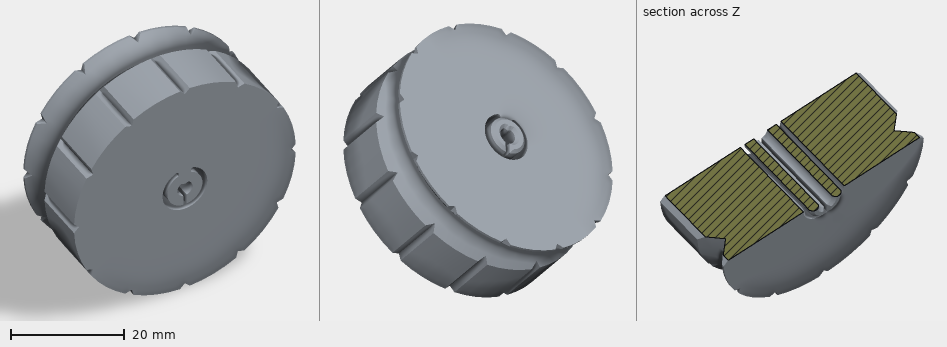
import cadquery as cq
import math


notch_count = 12
notch_depth = 1.0

wheel_height = 44.95
wheel_radius = math.hypot(wheel_height / 2, notch_depth)
wheel_width = 18.0
flange_width = 0.5
groove_depth = 3.5

hub_radius = 3.55
hub_overhang = 1.05
hub_chamfer = 0.6
hub_chamfer_angle = 45
hub_slit_width = 0.67
clearance_radius = 4.55
bridge_width = 2.47
clearance_end_fillet = 0.4

bore_radius = 1.55
bore_flat_height = 1.3
key_radius = 0.8
key_tip_height = 1.12

hub_length = wheel_width + hub_overhang


def make_rim():
    """Disc with a V-groove behind the thin front flange."""
    groove_bottom_x = flange_width + groove_depth
    groove_end_x = groove_bottom_x + groove_depth
    half_section = (
        cq.Workplane("XY")
        .moveTo(0, 0)
        .lineTo(0, wheel_radius)
        .lineTo(flange_width, wheel_radius)
        .lineTo(groove_bottom_x, wheel_radius - groove_depth)
        .lineTo(groove_end_x, wheel_radius)
        .lineTo(wheel_width, wheel_radius)
        .lineTo(wheel_width, 0)
        .close()
    )
    return half_section.revolve(360, (0, 0, 0), (1, 0, 0))


def make_notches():
    """Ring of V-shaped cutters, one of them at the top of the wheel."""
    tip_radius = wheel_height / 2 - notch_depth
    cutter_height = 2 * notch_depth
    cutter = (
        cq.Workplane("YZ")
        .moveTo(0, tip_radius)
        .lineTo(cutter_height, tip_radius + cutter_height)
        .lineTo(-cutter_height, tip_radius + cutter_height)
        .close()
        .extrude(wheel_width)
    )
    notches = cq.Workplane("YZ")
    for index in range(notch_count):
        angle = 360 / notch_count * index
        notches = notches.add(cutter.rotate((0, 0, 0), (1, 0, 0), angle))
    return notches.combine()


def make_clearance():
    """Opening around the hub, interrupted at the top by the bridge."""
    half_bridge = bridge_width / 2
    bridge_gap = (
        cq.Workplane("YZ")
        .center(0, clearance_radius)
        .rect(bridge_width, 2 * clearance_radius)
        .extrude(wheel_width)
    )
    opening = cq.Workplane("YZ").circle(clearance_radius).extrude(wheel_width).cut(bridge_gap)
    corner_height = math.sqrt(clearance_radius**2 - half_bridge**2)
    for side in (-1, 1):
        corner = cq.selectors.NearestToPointSelector((wheel_width / 2, side * half_bridge, corner_height))
        opening = opening.edges("|X").edges(corner).fillet(clearance_end_fillet)
    return opening


def make_hub_opening(length, margin=0, taper=0):
    """Keyed bore with the slit below it, widened by margin at its front and narrowing by the taper angle."""
    bore = cq.Workplane("YZ").circle(bore_radius + margin).extrude(length, taper=taper)
    block_size = 4 * bore_radius
    above_flat = (
        cq.Workplane("YZ")
        .center(0, bore_flat_height + margin + block_size / 2)
        .rect(block_size, block_size)
        .extrude(length, taper=-taper)
    )
    key = (
        cq.Workplane("YZ")
        .center(0, key_tip_height + key_radius)
        .circle(key_radius - margin)
        .extrude(length, taper=-taper)
    )
    slit = (
        cq.Workplane("YZ")
        .center(0, -hub_radius)
        .rect(hub_slit_width + 2 * margin, 2 * hub_radius)
        .extrude(length, taper=taper)
    )
    return bore.cut(above_flat).cut(key).union(slit)


def make_hub():
    """Hub split at the bottom, with its whole front outline chamfered."""
    hub = cq.Workplane("YZ").circle(hub_radius).extrude(hub_length).faces("<X").chamfer(hub_chamfer)
    chamfered_mouth = make_hub_opening(hub_chamfer, margin=hub_chamfer, taper=hub_chamfer_angle)
    hub = hub.cut(make_hub_opening(hub_length)).cut(chamfered_mouth)
    return hub.translate((-hub_overhang, 0, 0))


hub_seat = cq.Workplane("YZ").circle(hub_radius).extrude(wheel_width)
wheel = make_rim().cut(make_notches()).cut(make_clearance()).cut(hub_seat)
result = wheel.union(make_hub())